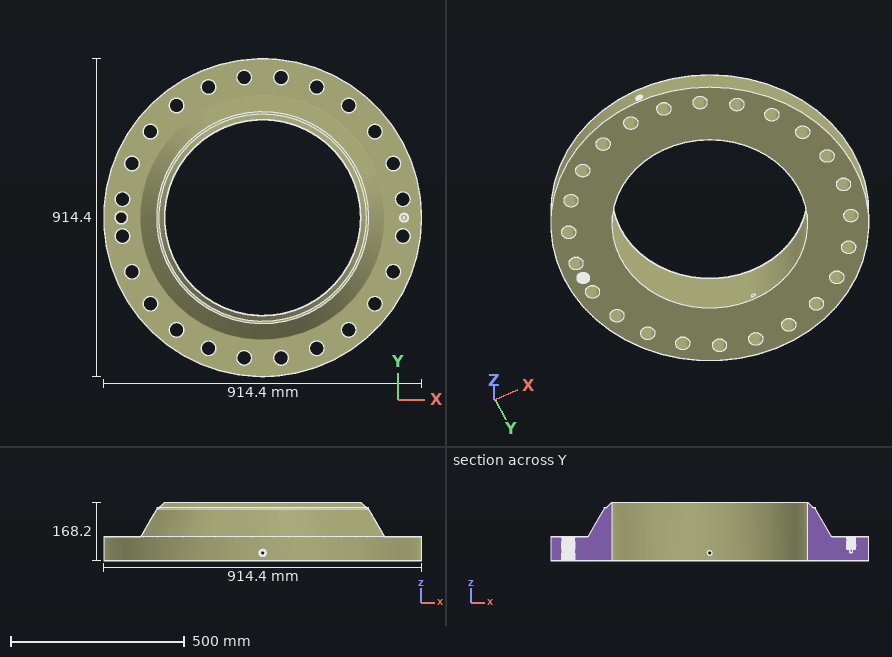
import cadquery as cq
import math

flange_diameter = 914.4
flange_thickness = 69.85
overall_height = 168.15

pipe_diameter = 609.6
wall_thickness = 23.83
hub_base_diameter = 701.5
neck_top_z = 153.5
neck_bottom_z = 149.0
hub_root_fillet = 3.0
weld_land_width = 1.6
bevel_angle = 46.5

bolt_circle_diameter = 812.8
bolt_count = 24
bolt_hole_diameter = 41.3

jack_minor_diameter = 34.0
jack_major_diameter = 37.0
jack_thread_pitch = 3.0

blind_minor_diameter = 20.0
blind_major_diameter = 26.0
blind_thread_pitch = 3.0
blind_thread_count = 12
pilot_diameter = 6.5
pilot_depth = 10.0

tap_z = 23.0
tap_bore_diameter = 12.7
tap_minor_diameter = 17.5
tap_major_diameter = 21.3
tap_thread_pitch = 1.814
tap_thread_count = 12

flange_radius = flange_diameter / 2
pipe_radius = pipe_diameter / 2
bore_radius = pipe_radius - wall_thickness
hub_base_radius = hub_base_diameter / 2
bolt_circle_radius = bolt_circle_diameter / 2


def make_body():
    """Revolve the flange, tapered hub and bevelled weld end about Z."""
    land_radius = bore_radius + weld_land_width
    bevel_width = (overall_height - neck_top_z) * math.tan(math.radians(bevel_angle))
    profile = [
        (bore_radius, 0),
        (flange_radius, 0),
        (flange_radius, flange_thickness),
        (hub_base_radius, flange_thickness),
        (pipe_radius, neck_bottom_z),
        (pipe_radius, neck_top_z),
        (land_radius + bevel_width, neck_top_z),
        (land_radius, overall_height),
        (bore_radius, overall_height),
    ]
    body = cq.Workplane("XZ").polyline(profile).close().revolve(360, (0, 0, 0), (0, 1, 0))
    hub_root = cq.selectors.RadiusNthSelector(-2)
    return body.edges(hub_root).fillet(hub_root_fillet)


def cut_bolt_holes(body):
    """Drill the bolt holes so that they straddle the X and Y axes."""
    pitch = 360 / bolt_count
    return (
        body.faces("<Z")
        .workplane(origin=(0, 0, 0))
        .polarArray(bolt_circle_radius, pitch / 2, 360, bolt_count)
        .hole(bolt_hole_diameter)
    )


def make_threaded_hole(minor_diameter, major_diameter, pitch, thread_count):
    """Cutter running down from Z = 0: stacked V-rings stand in for the thread, widest at the mouth."""
    minor_radius = minor_diameter / 2
    major_radius = major_diameter / 2
    profile = [(0, 0), (major_radius, 0)]
    for turn in range(thread_count):
        profile.append((minor_radius, -(turn + 0.5) * pitch))
        profile.append((major_radius, -(turn + 1) * pitch))
    profile.append((0, -thread_count * pitch))
    return cq.Workplane("XZ").polyline(profile).close().revolve(360, (0, 0, 0), (0, 1, 0))


def make_jack_hole():
    """Through-threaded hole for a jack screw."""
    thread_count = math.ceil(flange_thickness / jack_thread_pitch)
    thread = make_threaded_hole(
        jack_minor_diameter, jack_major_diameter, jack_thread_pitch, thread_count
    )
    return thread.translate((-bolt_circle_radius, 0, flange_thickness))


def make_blind_hole():
    """Blind threaded hole with a small pilot in its flat floor."""
    thread_depth = blind_thread_count * blind_thread_pitch
    thread = make_threaded_hole(
        blind_minor_diameter, blind_major_diameter, blind_thread_pitch, blind_thread_count
    )
    pilot = cq.Workplane("XY").circle(pilot_diameter / 2).extrude(-(thread_depth + pilot_depth))
    return thread.union(pilot).translate((bolt_circle_radius, 0, flange_thickness))


def make_pressure_taps():
    """Small bore across the whole flange, with a threaded socket at each rim."""
    taps = (
        cq.Workplane("XZ")
        .center(0, tap_z)
        .circle(tap_bore_diameter / 2)
        .extrude(flange_radius, both=True)
    )
    thread = make_threaded_hole(
        tap_minor_diameter, tap_major_diameter, tap_thread_pitch, tap_thread_count
    )
    for quarter_turn in (90, -90):
        socket = thread.translate((0, 0, flange_radius)).rotate((0, 0, 0), (1, 0, 0), quarter_turn)
        taps = taps.union(socket.translate((0, 0, tap_z)))
    return taps


result = cut_bolt_holes(make_body())
result = result.cut(make_jack_hole())
result = result.cut(make_blind_hole())
result = result.cut(make_pressure_taps())